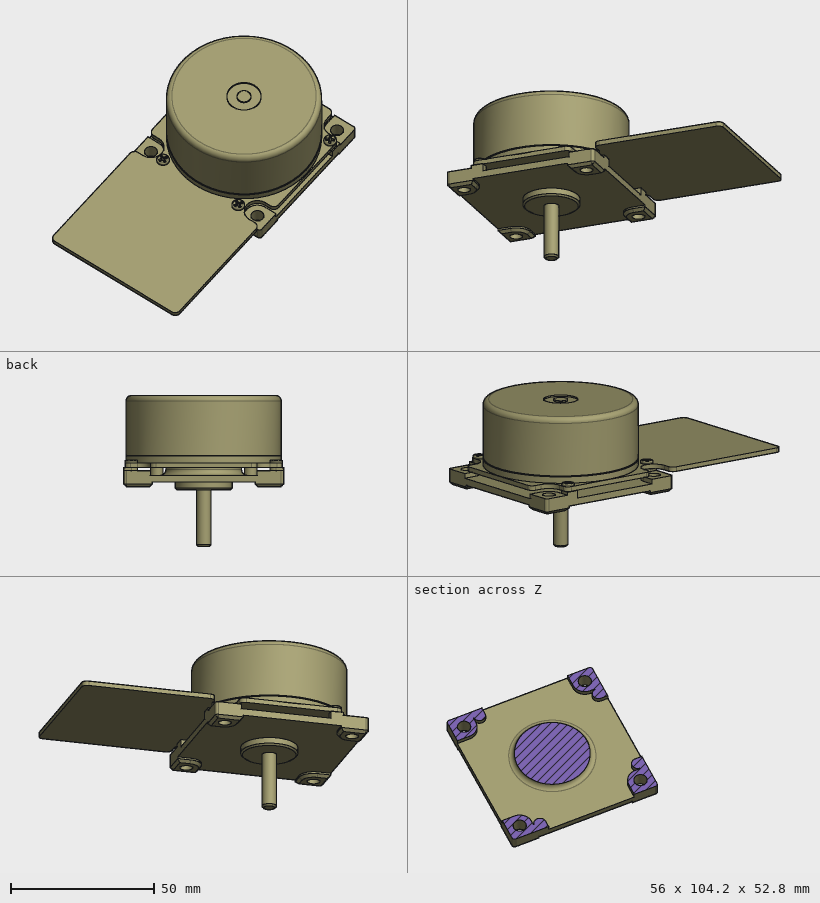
import cadquery as cq
import math


total_height = 52.8
total_length = 104.2

flange_size = 56.0
flange_corner_radius = 1.0
foot_bottom_z = 20.8
foot_reach = 5.3
foot_chamfer = 1.0
floor_bottom_z = 22.5
floor_top_z = 24.9
pad_top_z = 26.6
pad_reach = 4.6
mount_hole_diameter = 4.5
mount_hole_offset = 23.2

board_width = 55.0
board_bottom_z = 27.6
board_thickness = 1.7
board_corner_radius = 2.0

case_diameter = 54.4
case_edge_radius = 2.0
groove_bottom_z = 31.6
groove_height = 0.3
groove_depth = 0.2
recess_diameter = 12.0
recess_depth = 0.5

upper_hub_diameter = 26.6
upper_hub_flare = 2.0
lower_hub_diameter = 20.0
lower_hub_bottom_z = 19.8
lower_hub_chamfer = 0.6

shaft_diameter = 5.2
shaft_chamfer = 0.6
shaft_top_diameter = 4.9

screw_head_diameter = 4.5
screw_edge_offset = 25.3
screw_side_offset = mount_hole_offset - pad_reach - screw_head_diameter / 2
screw_head_height = 0.9
screw_edge_radius = 0.5
cross_length = 3.1
cross_width = 0.8
cross_depth = 0.5
cross_wall_angle = 20.0
rear_cross_angle = 30.0
front_cross_angle = 65.0

flange_half = flange_size / 2
board_top_z = board_bottom_z + board_thickness
board_back_y = board_width / 2
board_front_y = flange_half - total_length
mount_points = [(sx * mount_hole_offset, sy * mount_hole_offset) for sx in (-1, 1) for sy in (-1, 1)]


def cylinder(diameter, bottom_z, top_z):
    return cq.Workplane("XY").workplane(offset=bottom_z).circle(diameter / 2).extrude(top_z - bottom_z)


def box_between(x_range, y_range, z_range):
    """Box between two X, two Y and two Z places."""
    sizes = [high - low for low, high in (x_range, y_range, z_range)]
    corner = cq.Vector(x_range[0], y_range[0], z_range[0])
    return cq.Workplane("XY").add(cq.Solid.makeBox(*sizes, pnt=corner))


def corner_block(x_sign, y_sign, reach, bottom_z, top_z):
    """Block in a flange corner, its inner corner rounded about the mounting hole."""
    inner = mount_hole_offset - reach
    size = flange_half - inner
    middle = inner + size / 2
    block = (
        cq.Workplane("XY")
        .workplane(offset=bottom_z)
        .center(x_sign * middle, y_sign * middle)
        .rect(size, size)
        .extrude(top_z - bottom_z)
    )
    inner_edge = cq.selectors.NearestToPointSelector((x_sign * inner, y_sign * inner, (bottom_z + top_z) / 2))
    outer_edge = cq.selectors.NearestToPointSelector(
        (x_sign * flange_half, y_sign * flange_half, (bottom_z + top_z) / 2)
    )
    return block.edges(inner_edge).fillet(reach).edges(outer_edge).fillet(flange_corner_radius)


def screw_places():
    """X, Y and recess angle of the two screws at the front edge and the two at the sides."""
    places = []
    for sign in (-1, 1):
        places.append((sign * screw_side_offset, -screw_edge_offset, front_cross_angle))
        places.append((sign * screw_edge_offset, screw_side_offset, rear_cross_angle))
    return places


def screw_posts():
    """U-shaped posts that run from each screw out to the flange edge and carry the board."""
    radius = screw_head_diameter / 2
    z_range = (floor_bottom_z, board_bottom_z)
    front_span = (-flange_half, -screw_edge_offset)
    rear_span = (screw_side_offset - radius, screw_side_offset + radius)
    posts = cq.Workplane("XY")
    for sign in (-1, 1):
        front_x = sign * screw_side_offset
        front_post = box_between((front_x - radius, front_x + radius), front_span, z_range)
        side_span = sorted((sign * screw_edge_offset, sign * flange_half))
        side_post = box_between(side_span, rear_span, z_range)
        posts = posts.add(front_post).add(side_post)
    round_ends = (
        cq.Workplane("XY")
        .workplane(offset=z_range[0])
        .pushPoints([(x, y) for x, y, _ in screw_places()])
        .circle(radius)
        .extrude(z_range[1] - z_range[0])
    )
    return posts.combine().union(round_ends)


def make_flange():
    flange = (
        cq.Workplane("XY")
        .workplane(offset=floor_bottom_z)
        .rect(flange_size, flange_size)
        .extrude(floor_top_z - floor_bottom_z)
        .edges("|Z")
        .fillet(flange_corner_radius)
    )
    for x_sign in (-1, 1):
        for y_sign in (-1, 1):
            pad = corner_block(x_sign, y_sign, pad_reach, floor_bottom_z, pad_top_z)
            foot = corner_block(x_sign, y_sign, foot_reach, foot_bottom_z, floor_bottom_z)
            flange = flange.union(pad).union(foot.faces("<Z").chamfer(foot_chamfer))
    flange = flange.union(screw_posts())
    holes = (
        cq.Workplane("XY")
        .workplane(offset=foot_bottom_z)
        .pushPoints(mount_points)
        .circle(mount_hole_diameter / 2)
        .extrude(pad_top_z - foot_bottom_z)
    )
    return flange.cut(holes)


def make_board():
    """Board that clears the four mounting holes and runs out past the front of the flange."""
    half_width = board_width / 2
    board_z = (board_bottom_z, board_top_z)
    board = box_between((-half_width, half_width), (board_front_y, board_back_y), board_z)
    for sign in (-1, 1):
        hole_x = sign * mount_hole_offset
        outward = sorted((hole_x, sign * flange_half))
        rear = corner_block(sign, 1, pad_reach, board_bottom_z, board_top_z)
        front_y = (-mount_hole_offset - pad_reach, -mount_hole_offset + pad_reach)
        front = box_between(outward, front_y, board_z)
        front_round = cylinder(2 * pad_reach, *board_z).translate((hole_x, -mount_hole_offset, 0))
        board = board.cut(rear).cut(front).cut(front_round)
    rear_inner_x = mount_hole_offset - pad_reach
    sharp_corners = [(rear_inner_x, board_back_y), (half_width, rear_inner_x), (half_width, -rear_inner_x)]
    sharp_corners += [(half_width, -mount_hole_offset - pad_reach), (half_width, board_front_y)]
    middle_z = board_bottom_z + board_thickness / 2
    for x, y in sharp_corners:
        for sign in (-1, 1):
            corner = cq.selectors.NearestToPointSelector((sign * x, y, middle_z))
            board = board.edges("|Z").edges(corner).fillet(board_corner_radius)
    return board


def make_case():
    case = cylinder(case_diameter, board_top_z, total_height).faces(">Z").edges().fillet(case_edge_radius)
    recess = cylinder(recess_diameter, total_height - recess_depth, total_height)
    groove_top_z = groove_bottom_z + groove_height
    groove_core = cylinder(case_diameter - 2 * groove_depth, groove_bottom_z, groove_top_z)
    groove = cylinder(case_diameter, groove_bottom_z, groove_top_z).cut(groove_core)
    return case.cut(recess).cut(groove)


def make_hubs():
    """Upper hub flaring into the flange floor, and the pilot hub below it."""
    radius = upper_hub_diameter / 2
    flare_top_z = floor_top_z + upper_hub_flare
    bend = upper_hub_flare * (1 - math.sqrt(0.5))
    upper = (
        cq.Workplane("XZ")
        .moveTo(0, floor_top_z)
        .lineTo(radius + upper_hub_flare, floor_top_z)
        .threePointArc((radius + bend, floor_top_z + bend), (radius, flare_top_z))
        .lineTo(radius, board_bottom_z)
        .lineTo(0, board_bottom_z)
        .close()
        .revolve(360, (0, 0), (0, 1))
    )
    lower = cylinder(lower_hub_diameter, lower_hub_bottom_z, floor_bottom_z)
    return upper.union(lower.faces("<Z").chamfer(lower_hub_chamfer))


def make_shaft():
    lower = cylinder(shaft_diameter, 0, lower_hub_bottom_z).faces("<Z").chamfer(shaft_chamfer)
    upper = cylinder(shaft_top_diameter, total_height - recess_depth, total_height)
    return lower.union(upper)


def make_screw(cross_angle):
    """Round screw head with a cross recess, standing on Z = 0."""
    head = cylinder(screw_head_diameter, 0, screw_head_height).faces(">Z").edges().fillet(screw_edge_radius)
    slot = (
        cq.Workplane("XY")
        .workplane(offset=screw_head_height)
        .rect(cross_length, cross_width)
        .extrude(-cross_depth, taper=cross_wall_angle)
    )
    for angle in (cross_angle, cross_angle + 90):
        head = head.cut(slot.rotate((0, 0, 0), (0, 0, 1), angle))
    return head


result = make_flange().union(make_board()).union(make_hubs()).union(make_case()).union(make_shaft())
for x, y, angle in screw_places():
    result = result.union(make_screw(angle).translate((x, y, board_top_z)))
result = result.clean()